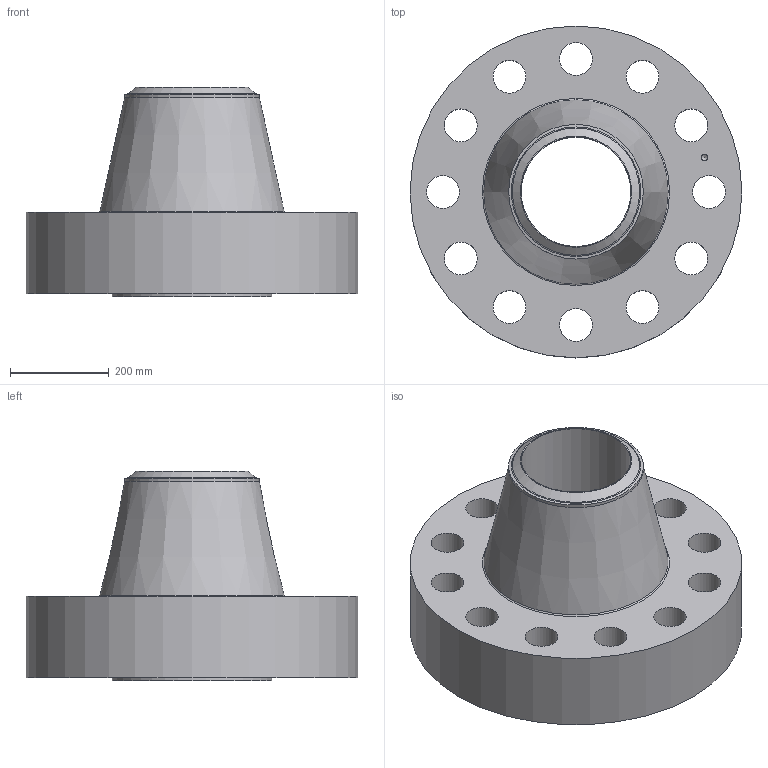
import cadquery as cq
import math

FLANGE_DIAMETER = 673.1
FLANGE_THICKNESS = 165.1
RAISED_FACE_DIAMETER = 323.85
RAISED_FACE_HEIGHT = 6.35
OVERALL_LENGTH = 425.45

BORE_DIAMETER = 222.25
HUB_BASE_DIAMETER = 374.65
HUB_FILLET_RADIUS = 3.0
WELD_END_DIAMETER = 273.05
WELD_END_LENGTH = 6.35

WELD_LAND_WIDTH = 1.6
BEVEL_BREAK_OFFSET = 19.0
STEEP_BEVEL_ANGLE = math.radians(37.5)
SHALLOW_BEVEL_ANGLE = math.radians(10.0)
BEVEL_FILLET_RADIUS = 5.0

BOLT_COUNT = 12
BOLT_CIRCLE_DIAMETER = 539.75
BOLT_HOLE_DIAMETER = 66.675

DRILLED_HOLE_DIAMETER = 12.7
DRILLED_HOLE_DEPTH = 25.0
DRILL_POINT_ANGLE = math.radians(118.0)
DRILLED_HOLE_BEARING = math.radians(360.0 / BOLT_COUNT / 2)

BORE_RADIUS = BORE_DIAMETER / 2
WELD_END_RADIUS = WELD_END_DIAMETER / 2
BEVEL_BREAK_RADIUS = BORE_RADIUS + BEVEL_BREAK_OFFSET
BOLT_CIRCLE_RADIUS = BOLT_CIRCLE_DIAMETER / 2
FLANGE_TOP = RAISED_FACE_HEIGHT + FLANGE_THICKNESS


def point_along(start, distance, angle):
    """Point at a distance from start, at an angle above the radial direction."""
    radius, level = start
    return (radius + distance * math.cos(angle), level + distance * math.sin(angle))


def make_body():
    """Revolve the raised face, flange, tapered hub and weld end about Z."""
    raised_face_radius = RAISED_FACE_DIAMETER / 2
    flange_radius = FLANGE_DIAMETER / 2
    hub_base_radius = HUB_BASE_DIAMETER / 2
    land_radius = BORE_RADIUS + WELD_LAND_WIDTH

    steep_drop = (BEVEL_BREAK_RADIUS - land_radius) * math.tan(STEEP_BEVEL_ANGLE)
    shallow_drop = (WELD_END_RADIUS - BEVEL_BREAK_RADIUS) * math.tan(SHALLOW_BEVEL_ANGLE)
    bevel_break = (BEVEL_BREAK_RADIUS, OVERALL_LENGTH - steep_drop)
    weld_end_top = OVERALL_LENGTH - steep_drop - shallow_drop
    taper_top = weld_end_top - WELD_END_LENGTH

    bevel_turn = STEEP_BEVEL_ANGLE - SHALLOW_BEVEL_ANGLE
    bevel_tangent = BEVEL_FILLET_RADIUS * math.tan(bevel_turn / 2)
    bevel_fillet_start = point_along(bevel_break, bevel_tangent, -SHALLOW_BEVEL_ANGLE)
    bevel_fillet_end = point_along(bevel_break, -bevel_tangent, -STEEP_BEVEL_ANGLE)

    hub_base = (hub_base_radius, FLANGE_TOP)
    taper_angle = math.atan2(taper_top - FLANGE_TOP, hub_base_radius - WELD_END_RADIUS)
    hub_tangent = HUB_FILLET_RADIUS * math.tan(taper_angle / 2)
    hub_fillet_start = point_along(hub_base, hub_tangent, 0)
    hub_fillet_end = point_along(hub_base, -hub_tangent, -taper_angle)

    profile = (
        cq.Workplane("XZ")
        .moveTo(BORE_RADIUS, 0)
        .lineTo(raised_face_radius, 0)
        .lineTo(raised_face_radius, RAISED_FACE_HEIGHT)
        .lineTo(flange_radius, RAISED_FACE_HEIGHT)
        .lineTo(flange_radius, FLANGE_TOP)
        .lineTo(*hub_fillet_start)
        .tangentArcPoint(hub_fillet_end, relative=False)
        .lineTo(WELD_END_RADIUS, taper_top)
        .lineTo(WELD_END_RADIUS, weld_end_top)
        .lineTo(*bevel_fillet_start)
        .tangentArcPoint(bevel_fillet_end, relative=False)
        .lineTo(land_radius, OVERALL_LENGTH)
        .lineTo(BORE_RADIUS, OVERALL_LENGTH)
        .close()
    )
    return profile.revolve(360, (0, 0, 0), (0, 1, 0))


def make_bolt_holes():
    """Ring of through holes in the flange, the first one on the +X axis."""
    return (
        cq.Workplane("XY")
        .polarArray(BOLT_CIRCLE_RADIUS, 0, 360, BOLT_COUNT)
        .circle(BOLT_HOLE_DIAMETER / 2)
        .extrude(FLANGE_TOP)
    )


def make_drilled_hole():
    """Blind hole from the flange top, ending in a conical drill point."""
    hole_radius = DRILLED_HOLE_DIAMETER / 2
    point_length = hole_radius / math.tan(DRILL_POINT_ANGLE / 2)
    center_x = BOLT_CIRCLE_RADIUS * math.cos(DRILLED_HOLE_BEARING)
    center_y = BOLT_CIRCLE_RADIUS * math.sin(DRILLED_HOLE_BEARING)
    hole_section = (
        cq.Workplane("XZ")
        .moveTo(0, -DRILLED_HOLE_DEPTH - point_length)
        .lineTo(hole_radius, -DRILLED_HOLE_DEPTH)
        .lineTo(hole_radius, 0)
        .lineTo(0, 0)
        .close()
    )
    hole = hole_section.revolve(360, (0, 0, 0), (0, 1, 0))
    return hole.translate((center_x, center_y, FLANGE_TOP))


result = make_body().cut(make_bolt_holes()).cut(make_drilled_hole())